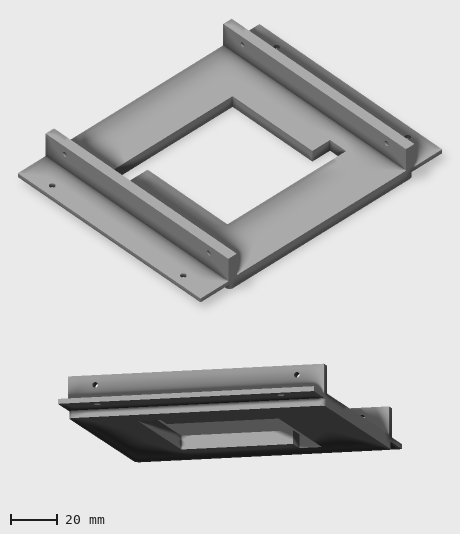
import cadquery as cq

width = 114.0
length = 143.0
height = 18.2

plate_top = 6.0
flange_bottom = 3.3
flange_top = 5.5
flange_reach = 16.5
wall_thickness = 5.0
base_inset = 0.6
base_corner_radius = 2.1

window_size = 59.8
notch_width = 10.0
notch_depth = 10.5

flange_hole_diameter = 2.9
flange_hole_spacing_x = 81.8
flange_hole_spacing_y = 132.7
wall_hole_diameter = 2.5
wall_hole_spacing = 89.8
wall_hole_drop = 4.3

wall_outer_y = length / 2 - flange_reach
wall_inner_y = wall_outer_y - wall_thickness
base_length = 2 * (wall_outer_y - base_inset)


def slab(size_y, bottom, top):
    """Full-width block centred on the Z axis, between two heights."""
    return (
        cq.Workplane("XY", origin=(0, 0, bottom))
        .rect(width, size_y)
        .extrude(top - bottom)
    )


def make_body():
    base = slab(base_length, 0, flange_bottom).edges("|Z").fillet(base_corner_radius)
    flanges = slab(length, flange_bottom, flange_top)
    walls = slab(2 * wall_outer_y, flange_bottom, height)
    channel = slab(2 * wall_inner_y, plate_top, height)
    return base.union(flanges).union(walls).cut(channel)


def make_window():
    half = window_size / 2
    notch_end = half + notch_depth
    notch_side = half - notch_width
    outline = [
        (-half, -notch_end),
        (-notch_side, -notch_end),
        (-notch_side, -half),
        (half, -half),
        (half, notch_end),
        (notch_side, notch_end),
        (notch_side, half),
        (-half, half),
    ]
    return cq.Workplane("XY").polyline(outline).close().extrude(plate_top)


def make_flange_holes():
    return (
        cq.Workplane("XY")
        .rarray(flange_hole_spacing_x, flange_hole_spacing_y, 2, 2)
        .circle(flange_hole_diameter / 2)
        .extrude(height)
    )


def make_wall_holes():
    return (
        cq.Workplane("XZ", origin=(0, 0, height - wall_hole_drop))
        .rarray(wall_hole_spacing, 1.5, 2, 1)
        .circle(wall_hole_diameter / 2)
        .extrude(length / 2, both=True)
    )


result = make_body().cut(make_window()).cut(make_flange_holes()).cut(make_wall_holes())